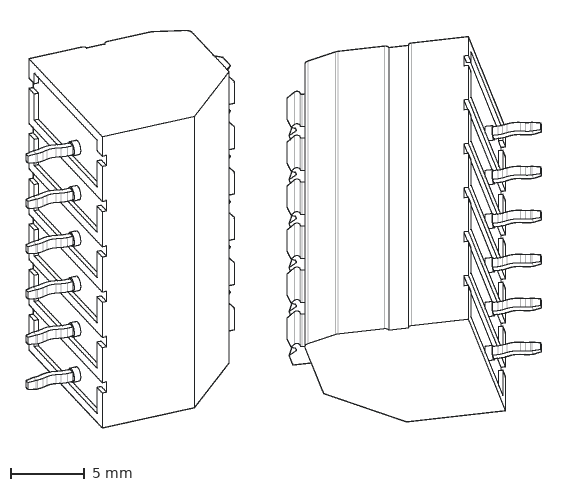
import cadquery as cq
import math


width = 12.0
depth = 11.56
height = 22.5
module_count = 6
end_plate = 1.5
pitch = (height - end_plate) / module_count
right_chamfer = 4.72
slope_run = 0.9
slope_start_y = 9.11
slope_round = 0.5

groove_depth = 0.25
groove_front_y = 3.94
groove_back_y = 5.8

recess_depth = 0.32
recess_side = 0.88
recess_rim = 0.7
notch_height = 0.79

pin_x = 7.3
pin_thick = 0.47
pin_width = 0.7
pin_reach = 3.46
collar_diameter = 1.0
collar_reach = 0.15
bend_start = 0.55
bend_angle = math.radians(17)
bend_radius = 1.33
bend_straight = 0.35
tip_length = 0.58
tip_inset = 0.079

button_left = 2.5
button_right = 4.7
button_rise = 1.58
button_height = 2.59
hook_reach = 0.45
hook_nose_radius = 0.2
hook_under_rise = 0.56
hook_root_round = 0.1
driver_groove_depth = 0.63
driver_groove_half_mouth = 0.55
driver_groove_half_floor = 0.11
driver_groove_half_length = 2 * button_height

button_back_y = depth + button_rise
hook_tip_x = button_left - hook_reach
hook_under_y = depth + hook_under_rise
nose_center_y = hook_under_y + hook_nose_radius
slope_end_x = hook_tip_x + hook_nose_radius * (1 - math.sqrt(0.5))
slope_end_y = nose_center_y + hook_nose_radius * math.sqrt(0.5)
flat_start_x = slope_end_x + button_back_y - slope_end_y


def box(x0, x1, y0, y1, z0, z1):
    """Axis-aligned box between two corners."""
    return cq.Workplane("XY").box(x1 - x0, y1 - y0, z1 - z0, centered=False).translate((x0, y0, z0))


def make_housing():
    """Prism with a sloped left rear, a chamfered right rear and a shallow groove on the left."""
    prism = (
        cq.Workplane("XY")
        .moveTo(0, 0)
        .lineTo(width, 0)
        .lineTo(width, depth - right_chamfer)
        .lineTo(width - right_chamfer, depth)
        .lineTo(slope_run, depth)
        .lineTo(0, slope_start_y)
        .close()
        .extrude(height)
    )
    for corner in [(slope_run, depth), (0, slope_start_y)]:
        edge_middle = (corner[0], corner[1], height / 2)
        prism = prism.edges(cq.selectors.NearestToPointSelector(edge_middle)).fillet(slope_round)
    arc_x = groove_depth * (1 - math.sqrt(0.5))
    arc_y = groove_depth * math.sqrt(0.5)
    groove = (
        cq.Workplane("XY")
        .moveTo(0, groove_front_y)
        .threePointArc((arc_x, groove_front_y + arc_y), (groove_depth, groove_front_y + groove_depth))
        .lineTo(groove_depth, groove_back_y - groove_depth)
        .threePointArc((arc_x, groove_back_y - arc_y), (0, groove_back_y))
        .close()
        .extrude(height)
    )
    return prism.cut(groove)


def make_module_recess(base_z):
    """Recess between side rims, widened to a full-width notch at the top of the module."""
    top_z = base_z + pitch
    pocket = box(recess_side, width - recess_side, 0, recess_depth, base_z + recess_rim, top_z)
    notch = box(0, width, 0, recess_depth, top_z - notch_height, top_z)
    return pocket.union(notch)


def make_end_recess():
    """Recess continued upward into the end plate, inside its rim."""
    bottom_z = height - end_plate - notch_height
    return box(recess_side, width - recess_side, 0, recess_depth, bottom_z, height - recess_rim)


def make_pin(center_z):
    """Round collar and a flat pin kinked toward the left, ending in a tapered tip."""
    collar = (
        cq.Workplane("XZ", origin=(pin_x, recess_depth, center_z))
        .circle(collar_diameter / 2)
        .extrude(recess_depth + collar_reach)
    )
    arc_shift = bend_radius * (1 - math.cos(bend_angle))
    arc_drop = bend_radius * math.sin(bend_angle)
    straight_shift = bend_straight * math.sin(bend_angle)
    straight_drop = bend_straight * math.cos(bend_angle)
    tip_start = pin_reach - tip_length

    path = (
        cq.Workplane("XY", origin=(pin_x, 0, center_z))
        .moveTo(0, recess_depth)
        .lineTo(0, -bend_start)
        .tangentArcPoint((-arc_shift, -arc_drop))
        .line(-straight_shift, -straight_drop)
        .tangentArcPoint((-arc_shift, -arc_drop))
        .tangentArcPoint((arc_shift, -arc_drop))
        .line(straight_shift, -straight_drop)
        .tangentArcPoint((arc_shift, -arc_drop))
        .lineTo(0, -tip_start)
    )
    shank = (
        cq.Workplane("XZ", origin=(pin_x, recess_depth, center_z))
        .rect(pin_thick, pin_width)
        .sweep(path)
    )
    tip = (
        cq.Workplane("XZ", origin=(pin_x, -tip_start, center_z))
        .rect(pin_thick, pin_width)
        .extrude(tip_length, taper=math.degrees(math.atan(tip_inset / tip_length)))
    )
    return collar.union(shank).union(tip)


def make_driver_groove(top_z):
    """Flat-bottomed V groove along the diagonal of a button's flat rear, through its top right corner."""
    diagonal_x = button_right - flat_start_x
    plane = cq.Plane(
        origin=(button_right, button_back_y, top_z),
        xDir=(button_height, 0, -diagonal_x),
        normal=(diagonal_x, 0, button_height),
    )
    return (
        cq.Workplane(plane)
        .moveTo(-driver_groove_half_mouth, 0)
        .lineTo(-driver_groove_half_floor, -driver_groove_depth)
        .lineTo(driver_groove_half_floor, -driver_groove_depth)
        .lineTo(driver_groove_half_mouth, 0)
        .close()
        .extrude(driver_groove_half_length, both=True)
    )


def make_button(top_z):
    """Button on the rear face with a hooked left side and a diagonal screwdriver groove."""
    button = (
        cq.Workplane("XY", origin=(0, 0, top_z - button_height))
        .moveTo(button_left, depth)
        .lineTo(button_right, depth)
        .lineTo(button_right, button_back_y)
        .lineTo(flat_start_x, button_back_y)
        .lineTo(slope_end_x, slope_end_y)
        .threePointArc((hook_tip_x, nose_center_y), (hook_tip_x + hook_nose_radius, hook_under_y))
        .lineTo(button_left - hook_root_round, hook_under_y)
        .tangentArcPoint((hook_root_round, -hook_root_round))
        .close()
        .extrude(button_height)
    )
    return button.cut(make_driver_groove(top_z))


result = make_housing().cut(make_end_recess())
for index in range(module_count):
    base = index * pitch
    result = result.cut(make_module_recess(base))
    result = result.union(make_pin(base + pitch / 2))
    result = result.union(make_button(base + pitch))